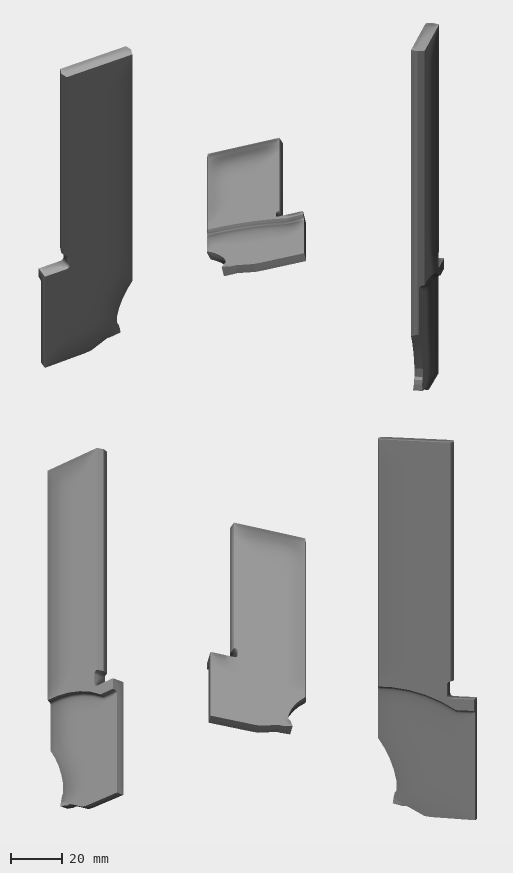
import cadquery as cq

height = 150.0
thickness = 5.4
back_y = 39.2
shank_front_y = 8.5
bevel_depth = 0.9
mid_x = thickness / 2

notch_wall_y = 10.8
notch_floor_z = 48.3
notch_top_z = 55.0
notch_radius = 1.4

relief_depth = 2.1
relief_taper = 13.0
relief_radius = 1.0
relief_front_z = 43.8
relief_back_z = 51.9
relief_arc_start = (32.7, 51.8)
relief_arc_mid = (20.5, 49.6)
relief_arc_end = (7.2, relief_front_z)
overrun = 7.5

gullet_top = (back_y, 31.2)
gullet_mid = (34.5, 23.5)
gullet_bottom = (31.5, 14.0)
heel_point = (20.2, 0.8)
heel_break = (17.5, 0.5)

seat_top = (31.5, 10.5)
seat_bottom = (27.3, 4.4)
seat_upper_corner = (23.0, 13.0)
seat_rear_top = (21.2, 12.5)
seat_rear_bottom = (21.2, 7.8)
seat_lower_corner = (22.6, 6.5)
tip_lower_corner = (29.1, 4.4)
tip_edge = (33.0, 5.2)
tip_upper_corner = (32.7, 7.6)
rake_break = (32.2, 9.5)
seat_radius = 1.0
tip_flare = 0.3
flare_break = (29.1, 5.1)


def make_relief():
    """Tapered void with a rounded floor edge; it overruns the head on its open sides."""
    relief = (
        cq.Workplane("YZ")
        .moveTo(-overrun, relief_front_z)
        .lineTo(*relief_arc_end)
        .threePointArc(relief_arc_mid, relief_arc_start)
        .lineTo(back_y + overrun, relief_back_z)
        .lineTo(back_y + overrun, -overrun)
        .lineTo(-overrun, -overrun)
        .close()
        .extrude(relief_depth, taper=relief_taper)
    )
    return relief.faces(">X").edges().fillet(relief_radius)


def make_bevel_envelope():
    """Cross-section with a V-shaped back edge and a V-shaped shank front edge."""
    back_edge_y = back_y - bevel_depth
    full = (
        cq.Workplane("XY")
        .polyline([(0, 0), (thickness, 0), (thickness, back_edge_y), (mid_x, back_y), (0, back_edge_y)])
        .close()
        .extrude(notch_top_z)
    )
    front_edge_y = shank_front_y + bevel_depth
    shank = (
        cq.Workplane("XY", origin=(0, 0, notch_top_z))
        .polyline([
            (0, front_edge_y),
            (mid_x, shank_front_y),
            (thickness, front_edge_y),
            (thickness, back_edge_y),
            (mid_x, back_y),
            (0, back_edge_y),
        ])
        .close()
        .extrude(height - notch_top_z)
    )
    return full.union(shank)


def make_insert_prism(start_x, length):
    """Insert outline extruded along X, with the rear corners rounded."""
    outline = [
        seat_top, seat_upper_corner, seat_rear_top, seat_rear_bottom, seat_lower_corner,
        seat_bottom, tip_lower_corner, tip_edge, tip_upper_corner, rake_break,
    ]
    prism = cq.Workplane("YZ", origin=(start_x, 0, 0)).polyline(outline).close().extrude(length)
    for y, z in (seat_upper_corner, seat_rear_bottom, seat_lower_corner):
        picked = cq.selectors.NearestToPointSelector((start_x + length / 2, y, z))
        prism = prism.edges("|X").edges(picked).fillet(seat_radius)
    return prism


def make_tip_flare(face_x, outer_x):
    """Flat-sided pyramid that widens the tip from face_x to outer_x at the cutting edge."""
    base = [cq.Vector(face_x, *p) for p in (tip_upper_corner, flare_break, tip_lower_corner, tip_edge)]
    apex = cq.Vector(outer_x, *tip_edge)
    corners = [
        base,
        [base[0], base[1], apex],
        [base[1], base[2], apex],
        [base[2], base[3], apex],
        [base[3], base[0], apex],
    ]
    faces = [cq.Face.makeFromWires(cq.Wire.makePolygon(c, close=True)) for c in corners]
    return cq.Workplane(obj=cq.Solid.makeSolid(cq.Shell.makeShell(faces)))


def make_blade():
    profile = (
        cq.Workplane("YZ")
        .moveTo(0, 0)
        .lineTo(0, notch_floor_z)
        .lineTo(notch_wall_y, notch_floor_z)
        .lineTo(notch_wall_y, notch_top_z)
        .lineTo(shank_front_y, notch_top_z)
        .lineTo(shank_front_y, height)
        .lineTo(back_y, height)
        .lineTo(*gullet_top)
        .threePointArc(gullet_mid, gullet_bottom)
        .lineTo(*seat_top)
        .lineTo(*seat_bottom)
        .lineTo(*heel_point)
        .lineTo(*heel_break)
        .close()
        .extrude(thickness)
    )
    for z in (notch_floor_z, notch_top_z):
        corner = cq.selectors.NearestToPointSelector((mid_x, notch_wall_y, z))
        profile = profile.edges("|X").edges(corner).fillet(notch_radius)
    seat = make_insert_prism(0, thickness)
    return profile.intersect(make_bevel_envelope()).cut(make_relief()).cut(seat).solids()


def make_insert():
    prism = make_insert_prism(relief_depth, thickness - relief_depth)
    left_flare = make_tip_flare(relief_depth, relief_depth - tip_flare)
    right_flare = make_tip_flare(thickness, thickness + tip_flare)
    return prism.union(left_flare).union(right_flare).solids()


blade = make_blade()
insert = make_insert()
result = cq.Compound.makeCompound([blade.val(), insert.val()])